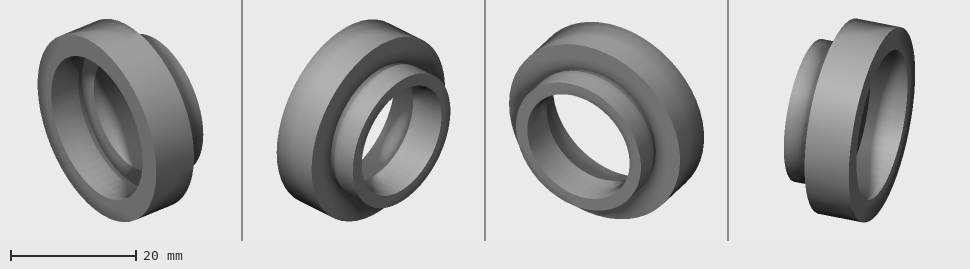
import cadquery as cq

flange_diameter = 31.75
flange_length = 7.5
neck_diameter = 22.67
neck_length = 1.02
spigot_diameter = 23.2
spigot_length = 4.0
bore_diameter = 19.0
recess_diameter = 24.4
recess_depth = 6.4
undercut_diameter = 25.3
undercut_width = 1.02

neck_end = flange_length + neck_length
total_length = neck_end + spigot_length


def cylinder(diameter, start, end):
    """Solid cylinder on the Y axis between two Y positions."""
    return cq.Workplane("XZ", origin=(0, start, 0)).circle(diameter / 2).extrude(start - end)


flange = cylinder(flange_diameter, 0, flange_length)
neck = cylinder(neck_diameter, flange_length, neck_end)
spigot = cylinder(spigot_diameter, neck_end, total_length)
body = flange.union(neck).union(spigot)

bore = cylinder(bore_diameter, 0, total_length)
recess = cylinder(recess_diameter, 0, recess_depth)
undercut = cylinder(undercut_diameter, recess_depth - undercut_width, recess_depth)

result = body.cut(bore).cut(recess).cut(undercut)